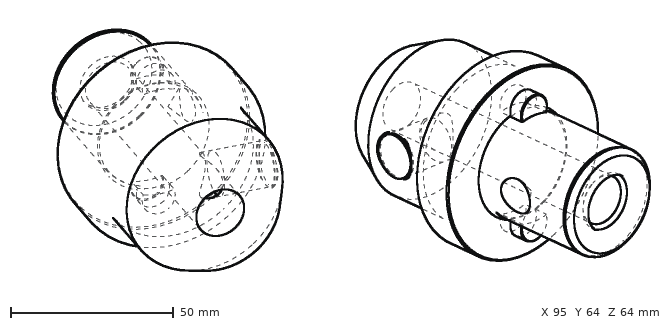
import cadquery as cq
import math


length = 95.0
flange_face_x = 40.0
flange_back_x = 55.0
nose_start_x = 82.3
dimple_x = 24.3
screw_x = 70.5

shank_radius = 18.0
flange_radius = 32.0
head_radius = 26.0
nose_end_radius = 19.95

shank_chamfer = 1.9
flange_chamfer = 0.5
flange_rounding = 2.0
head_fillet = flange_radius - flange_rounding - head_radius
nose_rounding = 2.4

lead_in_drop = 0.1
groove_depth = 0.3
groove_start_x = 2.3
groove_floor_start_x = 2.9
groove_floor_end_x = 3.3
groove_end_x = 4.6

relief_depth = 0.3
relief_start_x = 37.5
relief_floor_x = 38.7
relief_fillet = 0.95
relief_rim_radius = 19.7

bore_radius = 8.0
entry_radius = 9.3
entry_rounding = 1.1
entry_end_x = 3.1

dimple_radius = 6.6

screw_radius = 7.2
screw_inner_y = 8.55
screw_inset = 0.1
screw_counterbore_radius = 7.8
screw_counterbore_depth = 0.95

pin_radius = 5.5
pin_offset = 19.5
pin_start_x = 35.0
pin_end_x = 44.7
pin_chamfer = 0.3
pin_relief_radius = 18.2

QUARTER_ARC_GAP = 1 - math.sqrt(0.5)

X_AXIS = ((0, 0, 0), (1, 0, 0))


def outer_blank():
    """Turned outside of the holder, without bore or holes."""
    tip_radius = shank_radius - lead_in_drop
    groove_radius = shank_radius - groove_depth
    relief_radius = shank_radius - relief_depth
    relief_bottom_x = flange_face_x + relief_depth
    rounding_gap = flange_rounding * QUARTER_ARC_GAP
    fillet_gap = head_fillet * QUARTER_ARC_GAP
    profile = (
        cq.Workplane("XZ")
        .moveTo(0, 0)
        .lineTo(0, tip_radius - shank_chamfer)
        .lineTo(shank_chamfer, tip_radius)
        .lineTo(groove_start_x, shank_radius)
        .lineTo(groove_floor_start_x, groove_radius)
        .lineTo(groove_floor_end_x, groove_radius)
        .lineTo(groove_end_x, shank_radius)
        .lineTo(relief_start_x, shank_radius)
        .lineTo(relief_floor_x, relief_radius)
        .lineTo(relief_bottom_x - relief_fillet, relief_radius)
        .tangentArcPoint((relief_bottom_x, relief_radius + relief_fillet), relative=False)
        .lineTo(flange_face_x, relief_rim_radius)
        .lineTo(flange_face_x, flange_radius - flange_chamfer)
        .lineTo(flange_face_x + flange_chamfer, flange_radius)
        .lineTo(flange_back_x - flange_rounding, flange_radius)
        .threePointArc(
            (flange_back_x - rounding_gap, flange_radius - rounding_gap),
            (flange_back_x, flange_radius - flange_rounding),
        )
        .threePointArc(
            (flange_back_x + fillet_gap, head_radius + fillet_gap),
            (flange_back_x + head_fillet, head_radius),
        )
        .lineTo(nose_start_x, head_radius)
        .lineTo(length, nose_end_radius)
        .lineTo(length, 0)
        .close()
    )
    blank = profile.revolve(360, *X_AXIS)
    return blank.faces(">X").edges().fillet(nose_rounding)


def bore():
    """Through bore with a rounded, wider entry and a 45 degree shoulder."""
    gap = entry_rounding * QUARTER_ARC_GAP
    return (
        cq.Workplane("XZ")
        .moveTo(0, 0)
        .lineTo(0, entry_radius + entry_rounding)
        .threePointArc((gap, entry_radius + gap), (entry_rounding, entry_radius))
        .lineTo(entry_end_x, entry_radius)
        .lineTo(entry_end_x + entry_radius - bore_radius, bore_radius)
        .lineTo(length, bore_radius)
        .lineTo(length, 0)
        .close()
        .revolve(360, *X_AXIS)
    )


def dimple():
    """Cone pointing inward along -Y; it widens at 45 degrees to beyond the shank surface."""
    cone_height = 2 * dimple_radius
    tip = cq.Vector(dimple_x, shank_radius - dimple_radius, 0)
    return cq.Workplane(cq.Solid.makeCone(0, cone_height, cone_height, tip, cq.Vector(0, 1, 0)))


def cross_cylinder(radius, start_y, end_y):
    """Cylinder along Y at the clamping screw's place."""
    return cq.Workplane(
        cq.Solid.makeCylinder(radius, end_y - start_y, cq.Vector(screw_x, start_y, 0), cq.Vector(0, 1, 0))
    )


def clamping_screw():
    """Plain screw body from just outside the bore to just below the head surface."""
    return cross_cylinder(screw_radius, screw_inner_y, head_radius - screw_inset)


def screw_hole():
    """Hole from the head surface into the bore, with a shallow counterbore."""
    hole = cross_cylinder(screw_radius, 0, head_radius)
    counterbore = cross_cylinder(
        screw_counterbore_radius, head_radius - screw_counterbore_depth, head_radius
    )
    return hole.union(counterbore)


def driving_pin(side):
    """Pin along X above (side = 1) or below (side = -1) the shank, hollowed to clear the shank."""
    pin = (
        cq.Workplane("YZ", origin=(pin_start_x, 0, side * pin_offset))
        .circle(pin_radius)
        .extrude(pin_end_x - pin_start_x)
        .faces("<X")
        .chamfer(pin_chamfer)
    )
    shank_clearance = cq.Workplane("YZ").circle(pin_relief_radius).extrude(length)
    return pin.cut(shank_clearance)


def holder(pins):
    """Holder body with its bore, dimple, screw hole and a matching pocket for each pin."""
    body = outer_blank().cut(bore()).cut(dimple()).cut(screw_hole())
    for pin in pins:
        body = body.cut(pin)
    return body


driving_pins = [driving_pin(side) for side in (1, -1)]
tool_holder = holder(driving_pins)
screw = clamping_screw()

result = cq.Compound.makeCompound(
    [tool_holder.solids().val(), screw.val(), *[pin.solids().val() for pin in driving_pins]]
)